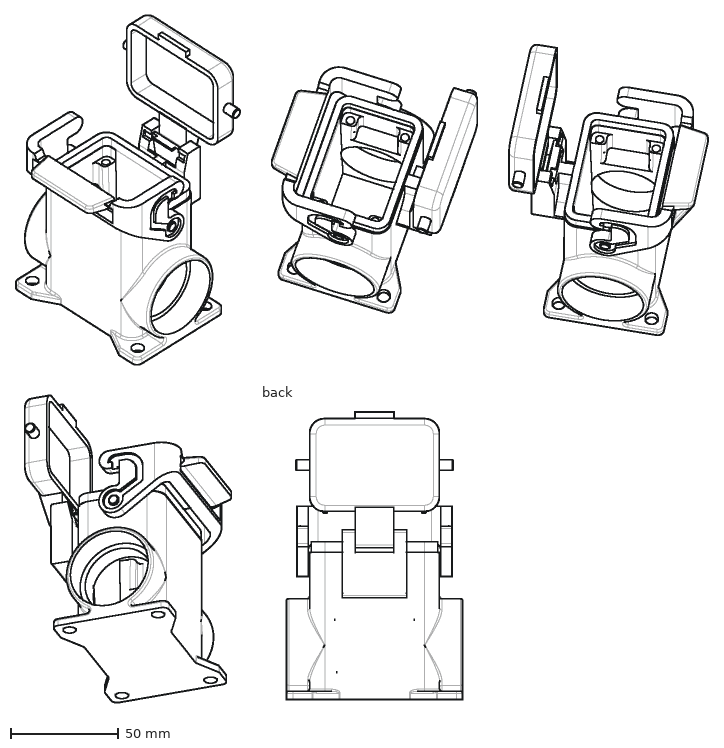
import cadquery as cq
import math

BODY_X = 60.5
BODY_Y = 43.2
BODY_CORNER = 7.0
BODY_TOP = 73.6
RIM_HEIGHT = 5.0
RIM_INSET_X = 0.8
RIM_INSET_Y = 0.4

MOUTH_X = 51.6
MOUTH_Y = 35.3
MOUTH_CORNER = 3.0
POST_TOP = 62.3
CHAMBER_X = 39.4
CHAMBER_FLOOR_X = 34.4
CHAMBER_FLOOR_Y = 31.0
CHAMBER_FLOOR = 3.0
CHAMBER_TOP = BODY_TOP - RIM_HEIGHT
POCKET_Y = 20.4
POCKET_CORNER = 2.0
POST_ROUND = 2.0
POCKET_TOP = 50.0
POCKET_BOTTOM = 45.0
SCREW_X = 22.0
SCREW_Y = 13.4
SCREW_DIAMETER = 3.8
SCREW_DEPTH = 10.0

ENTRY_Z = 25.4
ENTRY_RADIUS = BODY_Y / 2
ENTRY_SPAN = 82.0
ENTRY_BORE_RADIUS = 19.3
ENTRY_BORE_DEPTH = 13.0
ENTRY_HOLE_RADIUS = 16.8

FLANGE_Y = 57.0
FLANGE_THICKNESS = 4.0
FLANGE_CORNER = 3.0
FOOT_EDGE_ROUND = 0.9
FLANGE_EDGE_ROUND = 1.0
ROOT_ROUND = 1.0
FOOT_FLAT_END_X = 29.0
FOOT_ROOT_X = 16.4
NECK_ROUND = 1.5
FIXING_X = 34.9
FIXING_Y = 22.0
FIXING_DIAMETER = 6.1

LEVER_OUTER_X = 36.1
LEVER_INNER_X = 30.75
LEVER_FRONT_Y = -30.0
LEVER_WALL = 5.2
LEVER_CORNER = 9.5
LEVER_TOP = 90.1
LEVER_FRONT_BOTTOM = 76.6
PIVOT_Z = 64.3
PIVOT_RADIUS = 2.45
PIVOT_CHAMFER = 0.4
HUB_RADIUS = 7.0
HOOK_RADIUS = 4.65
HOOK_Y = 2.2
SLOT_EDGE_Y = -3.1
SLOT_ROUND = 1.7
SLOT_TOP_ROUND = 1.0
TRACK_DEPTH = 1.5
TRACK_HUB_RADIUS = 5.0
TRACK_INNER_RADIUS = 5.5
TRACK_OUTER_RADIUS = 9.0
TRACK_ARC_Y = -5.8
TRACK_ARC_Z = 78.5
TRACK_BEND_Z = 72.4
TRACK_TIP_Y = 0.7

TAB_TIP_Y = -38.85
TAB_TOP = 88.3
TAB_ROOT_BOTTOM = 83.5
TAB_TIP_BOTTOM = 84.8
TAB_ROOT_HALF_X = 22.2
TAB_TIP_HALF_X = 19.5
TAB_CORNER = 3.0
TAB_EDGE_ROUND = 1.0
NOTCH_HALF_X = 25.5
NOTCH_FLOOR_HALF_X = 23.8
NOTCH_FLOOR = 87.0
RECESS_X = 52.8
RECESS_BOTTOM = 78.4
RECESS_TOP = 86.4
RECESS_BEVEL = 2.9
RECESS_DEPTH = 3.0

COVER_X = 60.5
COVER_BACK_Y = 47.0
COVER_FRONT_Y = 35.0
COVER_BOTTOM = 87.6
COVER_TOP = 130.9
COVER_CORNER = 7.0
COVER_WALL = 3.0
COVER_BACK_WALL = 2.0
COVER_BACK_ROUND = 3.0
LATCH_X = 18.2
LATCH_Y = 2.4
LATCH_TOP = 134.0
COVER_PIN_SPAN = 73.2
COVER_PIN_Y = 41.2
COVER_PIN_Z = 109.2
COVER_PIN_RADIUS = 2.5
COVER_PIN_CHAMFER = 0.4

HINGE_X = 30.0
HINGE_BACK_Y = 38.7
HINGE_FRONT_Y = 28.0
HINGE_TOP_FRONT_Y = 30.4
HINGE_TOP = 79.0
HINGE_BOTTOM = 47.5
HINGE_EDGE_ROUND = 1.0
ARM_X = 18.0
ARM_FRONT_Y = 35.4
ARM_BOTTOM = 70.7
ARM_BOTTOM_BACK_Y = 41.4
ARM_TOP = 89.6
ARM_ROUND = 2.0
STRUT_TOP = 68.6
WELL_FRONT_Y = 29.0
WELL_BACK_Y = 37.0
WELL_FLOOR = 63.0
HINGE_PIN_X = 24.0
HINGE_PIN_RADIUS = 1.5
HINGE_PIN_Y = 36.8
HINGE_PIN_Z = 74.5
SIDE_POCKET_X = 27.0
SIDE_POCKET_BACK_Y = 30.6
SIDE_POCKET_BOTTOM = 73.5
SIDE_POCKET_TOP = 77.0
CLIP_FRONT_Y = 31.0
CLIP_FOOT_Y = 33.0
CLIP_THICKNESS_Y = 1.6
CLIP_TOP = 77.4
CLIP_LIP_X = 12.0
CLIP_LIP_Y = 28.8
CLIP_LIP_THICKNESS = 1.0
STRUT_RIB_HALF_X = 3.0
STRUT_ARC_TOP = 59.4
STRUT_ARC_END_X = 8.5
STRUT_ARC_END_Z = 51.7

SIDES = (-1, 1)
OVERLAP = 1.0
TOLERANCE = 0.05


def box(x_min, x_max, y_min, y_max, z_min, z_max):
    """Axis-aligned box between the given limits."""
    size = (x_max - x_min, y_max - y_min, z_max - z_min)
    return cq.Workplane("XY").box(*size, centered=False).translate((x_min, y_min, z_min))


def rounded_block(size_x, size_y, corner, z_min, z_max):
    """Upright block centred on the Z axis, with rounded vertical edges."""
    block = box(-size_x / 2, size_x / 2, -size_y / 2, size_y / 2, z_min, z_max)
    return block.edges("|Z").fillet(corner)


def rod(radius, x_min, x_max, y, z):
    """Cylinder parallel to X."""
    return cq.Workplane("YZ", origin=(x_min, y, z)).circle(radius).extrude(x_max - x_min)


def make_flange():
    half_x = ENTRY_SPAN / 2
    half_y = FLANGE_Y / 2
    wall_y = BODY_Y / 2
    quarter = [(FOOT_ROOT_X, wall_y), (FOOT_FLAT_END_X, half_y), (half_x, half_y)]
    outline = [(x, y) for x, y in quarter]
    outline += [(x, -y) for x, y in reversed(quarter)]
    outline += [(-x, -y) for x, y in quarter]
    outline += [(-x, y) for x, y in reversed(quarter)]
    flange = cq.Workplane("XY").polyline(outline).close().extrude(FLANGE_THICKNESS)
    return flange.edges("|Z and (<X or >X)").fillet(FLANGE_CORNER)


def make_neck():
    """Web under the cable entries that blends the round barrel into the flat flange."""
    center_z = FLANGE_THICKNESS + NECK_ROUND
    drop = ENTRY_Z - center_z
    reach = ENTRY_RADIUS + NECK_ROUND
    center_y = math.sqrt(reach**2 - drop**2)
    barrel_y = center_y * ENTRY_RADIUS / reach
    barrel_z = ENTRY_Z - drop * ENTRY_RADIUS / reach
    waist_y = center_y - NECK_ROUND
    return (
        cq.Workplane("YZ", origin=(-ENTRY_SPAN / 2, 0, 0))
        .moveTo(-center_y, FLANGE_THICKNESS)
        .threePointArc((-waist_y, center_z), (-barrel_y, barrel_z))
        .lineTo(barrel_y, barrel_z)
        .threePointArc((waist_y, center_z), (center_y, FLANGE_THICKNESS))
        .lineTo(center_y, FLANGE_THICKNESS / 2)
        .lineTo(-center_y, FLANGE_THICKNESS / 2)
        .close()
        .extrude(ENTRY_SPAN)
    )


def make_base():
    """Flange, necks and cable entry barrels with rounded outer edges."""
    barrel = rod(ENTRY_RADIUS, -ENTRY_SPAN / 2, ENTRY_SPAN / 2, 0, ENTRY_Z)
    base = make_flange().union(make_neck()).union(barrel).clean()
    return base.faces("<X or >X").edges("not <Z").fillet(FLANGE_EDGE_ROUND)


def is_free_foot_edge(edge):
    """True for the upper edges of the feet that stand clear of the body."""
    center = edge.Center()
    return abs(center.z - FLANGE_THICKNESS) < TOLERANCE and abs(center.y) > BODY_Y / 2 + TOLERANCE


def is_root_edge(edge):
    """True where the body meets the feet or an entry barrel."""
    center = edge.Center()
    at_body_end = BODY_X / 2 - BODY_CORNER < abs(center.x) < BODY_X / 2 + TOLERANCE
    above_feet = FLANGE_THICKNESS + TOLERANCE < center.z < BODY_TOP - RIM_HEIGHT - TOLERANCE
    if above_feet:
        return at_body_end and edge.geomType() != "LINE"
    on_feet = abs(center.z - FLANGE_THICKNESS) < TOLERANCE
    return on_feet and FOOT_ROOT_X < abs(center.x) < BODY_X / 2 + TOLERANCE


def round_joints(housing):
    """Round the free foot edges, then the roots of the body on the feet and barrels."""
    foot_edges = [edge for edge in housing.edges().vals() if is_free_foot_edge(edge)]
    housing = housing.newObject(foot_edges).fillet(FOOT_EDGE_ROUND)
    roots = [edge for edge in housing.edges().vals() if is_root_edge(edge)]
    return housing.newObject(roots).fillet(ROOT_ROUND)


def is_post_edge(edge):
    """True for the free vertical edges of the screw posts."""
    center = edge.Center()
    between_walls = CHAMBER_FLOOR_X / 2 < abs(center.x) < CHAMBER_X / 2
    return between_walls and abs(abs(center.y) - POCKET_Y / 2) < TOLERANCE and center.z > POCKET_TOP


def make_cavity():
    """Open mouth, tapering chamber and the sloped pockets between the screw posts."""
    taper = (MOUTH_Y - CHAMBER_FLOOR_Y) / (CHAMBER_TOP - CHAMBER_FLOOR)
    ledge = taper * (CHAMBER_TOP - POST_TOP) / 2
    seat_x = MOUTH_X - 2 * ledge
    mouth = rounded_block(MOUTH_X, MOUTH_Y, MOUTH_CORNER, CHAMBER_TOP, BODY_TOP)
    seat = rounded_block(seat_x, MOUTH_Y - 2 * ledge, MOUTH_CORNER - ledge, POST_TOP, CHAMBER_TOP)
    chamber = (
        cq.Workplane("XY", origin=(0, 0, CHAMBER_FLOOR))
        .rect(CHAMBER_FLOOR_X, CHAMBER_FLOOR_Y)
        .workplane(offset=CHAMBER_TOP - CHAMBER_FLOOR)
        .rect(CHAMBER_X, MOUTH_Y)
        .loft(combine=True)
    )
    pockets = (
        cq.Workplane("XZ", origin=(0, POCKET_Y / 2, 0))
        .polyline([
            (-seat_x / 2, CHAMBER_TOP),
            (seat_x / 2, CHAMBER_TOP),
            (seat_x / 2, POCKET_TOP),
            (CHAMBER_FLOOR_X / 2, POCKET_BOTTOM),
            (-CHAMBER_FLOOR_X / 2, POCKET_BOTTOM),
            (-seat_x / 2, POCKET_TOP),
        ])
        .close()
        .extrude(POCKET_Y)
        .edges("|Z")
        .fillet(POCKET_CORNER)
    )
    lower = chamber.union(pockets)
    lower = lower.newObject([edge for edge in lower.edges().vals() if is_post_edge(edge)]).fillet(POST_ROUND)
    screws = (
        cq.Workplane("XY", origin=(0, 0, POST_TOP - SCREW_DEPTH))
        .rect(2 * SCREW_X, 2 * SCREW_Y, forConstruction=True)
        .vertices()
        .circle(SCREW_DIAMETER / 2)
        .extrude(SCREW_DEPTH)
    )
    return lower.union(seat).union(mouth).union(screws)


def make_entry_bores():
    """Stepped bores through the two end walls only, leaving the long chamber walls whole."""
    end = -ENTRY_SPAN / 2
    bore = rod(ENTRY_BORE_RADIUS, end, end + ENTRY_BORE_DEPTH, 0, ENTRY_Z)
    hole = rod(ENTRY_HOLE_RADIUS, end, -CHAMBER_FLOOR_X / 2, 0, ENTRY_Z)
    entry = bore.union(hole)
    return entry.union(entry.mirror("YZ"))


def make_housing():
    shoulder = BODY_TOP - RIM_HEIGHT
    body = rounded_block(BODY_X, BODY_Y, BODY_CORNER, 0, shoulder)
    rim = rounded_block(
        BODY_X - 2 * RIM_INSET_X,
        BODY_Y - 2 * RIM_INSET_Y,
        BODY_CORNER - RIM_INSET_X,
        shoulder - OVERLAP,
        BODY_TOP,
    )
    fixings = (
        cq.Workplane("XY")
        .rect(2 * FIXING_X, 2 * FIXING_Y, forConstruction=True)
        .vertices()
        .circle(FIXING_DIAMETER / 2)
        .extrude(FLANGE_THICKNESS)
    )
    housing = round_joints(body.union(make_base())).union(rim)
    return housing.cut(make_cavity()).cut(make_entry_bores()).cut(fixings)


def lever_side_outline():
    """Lever side shape: hub, hook, straight top edge and sloping underside."""
    hook_z = LEVER_TOP - HOOK_RADIUS
    hook_bottom = hook_z - HOOK_RADIUS
    slot_end_y = SLOT_EDGE_Y + SLOT_ROUND
    slot_end_z = PIVOT_Z + math.sqrt(HUB_RADIUS**2 - slot_end_y**2)
    to_front = math.atan2(LEVER_FRONT_BOTTOM - PIVOT_Z, -LEVER_FRONT_Y)
    distance = math.hypot(LEVER_FRONT_BOTTOM - PIVOT_Z, LEVER_FRONT_Y)
    slope = to_front + math.asin(HUB_RADIUS / distance)
    tangent_y = -HUB_RADIUS * math.sin(slope)
    tangent_z = PIVOT_Z - HUB_RADIUS * math.cos(slope)
    return (
        cq.Workplane("YZ", origin=(-LEVER_OUTER_X, 0, 0))
        .moveTo(LEVER_FRONT_Y, LEVER_TOP)
        .lineTo(HOOK_Y, LEVER_TOP)
        .threePointArc((HOOK_Y + HOOK_RADIUS, hook_z), (HOOK_Y, hook_bottom))
        .lineTo(SLOT_EDGE_Y + SLOT_TOP_ROUND, hook_bottom)
        .radiusArc((SLOT_EDGE_Y, hook_bottom - SLOT_TOP_ROUND), -SLOT_TOP_ROUND)
        .lineTo(SLOT_EDGE_Y, slot_end_z + SLOT_ROUND)
        .radiusArc((slot_end_y, slot_end_z), -SLOT_ROUND)
        .threePointArc((HUB_RADIUS, PIVOT_Z), (tangent_y, tangent_z))
        .lineTo(LEVER_FRONT_Y, LEVER_FRONT_BOTTOM)
        .close()
    )


def make_track():
    """Shallow channel in the outer face of the -X lever arm, from the hub to the hook."""
    face_x = -LEVER_OUTER_X
    sketch = cq.Workplane("YZ", origin=(face_x, 0, 0))
    mid_radius = (TRACK_INNER_RADIUS + TRACK_OUTER_RADIUS) / 2
    half_width = (TRACK_OUTER_RADIUS - TRACK_INNER_RADIUS) / 2
    bend_y = TRACK_ARC_Y - mid_radius
    diagonal = math.sqrt(0.5)
    hub = sketch.circle(TRACK_HUB_RADIUS).extrude(TRACK_DEPTH).translate((0, 0, PIVOT_Z))
    link_length = math.hypot(bend_y, TRACK_BEND_Z - PIVOT_Z)
    link_angle = math.degrees(math.atan2(TRACK_BEND_Z - PIVOT_Z, bend_y))
    link = (
        cq.Workplane("YZ")
        .slot2D(link_length + 2 * half_width, 2 * half_width)
        .extrude(TRACK_DEPTH)
        .rotate((0, 0, 0), (1, 0, 0), link_angle)
        .translate((face_x, bend_y / 2, (PIVOT_Z + TRACK_BEND_Z) / 2))
    )
    sweep = (
        sketch.moveTo(TRACK_ARC_Y - TRACK_OUTER_RADIUS, TRACK_BEND_Z)
        .lineTo(TRACK_ARC_Y - TRACK_OUTER_RADIUS, TRACK_ARC_Z)
        .threePointArc(
            (TRACK_ARC_Y - diagonal * TRACK_OUTER_RADIUS, TRACK_ARC_Z + diagonal * TRACK_OUTER_RADIUS),
            (TRACK_ARC_Y, TRACK_ARC_Z + TRACK_OUTER_RADIUS),
        )
        .lineTo(TRACK_TIP_Y - half_width, TRACK_ARC_Z + TRACK_OUTER_RADIUS)
        .radiusArc((TRACK_TIP_Y + half_width, TRACK_ARC_Z + mid_radius - half_width), 2 * half_width)
        .lineTo(TRACK_TIP_Y, TRACK_ARC_Z + TRACK_INNER_RADIUS)
        .lineTo(TRACK_TIP_Y, LEVER_TOP - 2 * HOOK_RADIUS)
        .lineTo(SLOT_EDGE_Y, LEVER_TOP - 2 * HOOK_RADIUS)
        .lineTo(SLOT_EDGE_Y, TRACK_ARC_Z + TRACK_INNER_RADIUS)
        .lineTo(TRACK_ARC_Y, TRACK_ARC_Z + TRACK_INNER_RADIUS)
        .threePointArc(
            (TRACK_ARC_Y - diagonal * TRACK_INNER_RADIUS, TRACK_ARC_Z + diagonal * TRACK_INNER_RADIUS),
            (TRACK_ARC_Y - TRACK_INNER_RADIUS, TRACK_ARC_Z),
        )
        .lineTo(TRACK_ARC_Y - TRACK_INNER_RADIUS, TRACK_BEND_Z)
        .close()
        .extrude(TRACK_DEPTH)
    )
    return hub.union(link).union(sweep)


def make_tab():
    """Finger tab whose thickness shrinks towards its tip."""
    root_y = LEVER_FRONT_Y + LEVER_WALL
    plan = (
        cq.Workplane("XY", origin=(0, 0, TAB_ROOT_BOTTOM))
        .polyline([
            (-TAB_ROOT_HALF_X, root_y),
            (TAB_ROOT_HALF_X, root_y),
            (TAB_TIP_HALF_X, TAB_TIP_Y),
            (-TAB_TIP_HALF_X, TAB_TIP_Y),
        ])
        .close()
        .extrude(TAB_TOP - TAB_ROOT_BOTTOM)
        .edges("|Z and <Y")
        .fillet(TAB_CORNER)
    )
    plan = plan.faces(">Z").edges("not >Y").fillet(TAB_EDGE_ROUND)
    undercut = (
        cq.Workplane("YZ", origin=(-TAB_ROOT_HALF_X, 0, 0))
        .polyline([
            (LEVER_FRONT_Y, TAB_ROOT_BOTTOM),
            (TAB_TIP_Y, TAB_TIP_BOTTOM),
            (TAB_TIP_Y, TAB_ROOT_BOTTOM),
        ])
        .close()
        .extrude(2 * TAB_ROOT_HALF_X)
    )
    return plan.cut(undercut)


def make_finger_recess():
    """Bevelled recess in the front wall, behind the finger tab."""
    center_z = (RECESS_TOP + RECESS_BOTTOM) / 2
    height = RECESS_TOP - RECESS_BOTTOM
    return (
        cq.Workplane("XZ", origin=(0, LEVER_FRONT_Y, center_z))
        .rect(RECESS_X, height)
        .workplane(offset=-RECESS_DEPTH)
        .rect(RECESS_X - 2 * RECESS_BEVEL, height - 2 * RECESS_BEVEL)
        .loft(combine=True)
    )


def make_lever():
    side = lever_side_outline().extrude(2 * LEVER_OUTER_X)
    side = side.edges("|Z and <Y").fillet(LEVER_CORNER)
    inner_y = LEVER_FRONT_Y + LEVER_WALL
    opening = box(-LEVER_INNER_X, LEVER_INNER_X, inner_y, 2 * HUB_RADIUS, 0, LEVER_TOP)
    opening = opening.edges("|Z and <Y").fillet(LEVER_CORNER - LEVER_WALL)
    lever = side.cut(opening)
    notch = (
        cq.Workplane("XZ", origin=(0, inner_y, 0))
        .polyline([
            (-NOTCH_HALF_X, LEVER_TOP),
            (NOTCH_HALF_X, LEVER_TOP),
            (NOTCH_FLOOR_HALF_X, NOTCH_FLOOR),
            (-NOTCH_FLOOR_HALF_X, NOTCH_FLOOR),
        ])
        .close()
        .extrude(LEVER_WALL)
    )
    track = make_track()
    lever = lever.cut(notch).cut(make_finger_recess()).cut(track).cut(track.mirror("YZ"))
    pivot_end = LEVER_OUTER_X - PIVOT_CHAMFER
    pin_root = MOUTH_X / 2 + OVERLAP
    for side_sign in SIDES:
        ends = sorted((side_sign * pin_root, side_sign * pivot_end))
        pin = rod(PIVOT_RADIUS, *ends, 0, PIVOT_Z)
        lever = lever.union(pin.faces("<X" if side_sign < 0 else ">X").chamfer(PIVOT_CHAMFER))
    return lever.union(make_tab())


def make_cover():
    half_x = COVER_X / 2
    shell = box(-half_x, half_x, COVER_FRONT_Y, COVER_BACK_Y, COVER_BOTTOM, COVER_TOP)
    shell = shell.edges("|Y").fillet(COVER_CORNER).faces(">Y").edges().fillet(COVER_BACK_ROUND)
    hollow = box(
        COVER_WALL - half_x,
        half_x - COVER_WALL,
        COVER_FRONT_Y,
        COVER_BACK_Y - COVER_BACK_WALL,
        COVER_BOTTOM + COVER_WALL,
        COVER_TOP - COVER_WALL,
    )
    cover = shell.cut(hollow.edges("|Y").fillet(COVER_CORNER - COVER_WALL))
    latch = box(
        -LATCH_X / 2, LATCH_X / 2, COVER_FRONT_Y, COVER_FRONT_Y + LATCH_Y, COVER_TOP - OVERLAP, LATCH_TOP
    )
    cover = cover.union(latch)
    for side_sign in SIDES:
        ends = sorted((side_sign * (half_x - OVERLAP), side_sign * COVER_PIN_SPAN / 2))
        pin = rod(COVER_PIN_RADIUS, *ends, COVER_PIN_Y, COVER_PIN_Z)
        cover = cover.union(pin.faces("<X" if side_sign < 0 else ">X").chamfer(COVER_PIN_CHAMFER))
    return cover


def make_cover_arm():
    """Tapering arm under the cover that enters the hinge bracket."""
    arm = (
        cq.Workplane("YZ", origin=(-ARM_X / 2, 0, 0))
        .polyline([
            (ARM_FRONT_Y, ARM_TOP),
            (COVER_BACK_Y, ARM_TOP),
            (ARM_BOTTOM_BACK_Y, ARM_BOTTOM),
            (ARM_FRONT_Y, ARM_BOTTOM),
        ])
        .close()
        .extrude(ARM_X)
    )
    return arm.faces("<Z").edges(">Y").fillet(ARM_ROUND)


def make_hinge_bracket():
    half_x = HINGE_X / 2
    bracket = (
        cq.Workplane("YZ", origin=(-half_x, 0, 0))
        .polyline([
            (HINGE_FRONT_Y, HINGE_BOTTOM),
            (HINGE_BACK_Y, HINGE_BOTTOM),
            (HINGE_BACK_Y, HINGE_TOP),
            (HINGE_TOP_FRONT_Y, HINGE_TOP),
            (HINGE_FRONT_Y, STRUT_TOP),
        ])
        .close()
        .extrude(HINGE_X)
    )
    bracket = bracket.edges("|X and >Y").fillet(HINGE_EDGE_ROUND)
    slot = box(-ARM_X / 2, ARM_X / 2, HINGE_FRONT_Y, HINGE_BACK_Y, STRUT_TOP, HINGE_TOP)
    well = box(-ARM_X / 2, ARM_X / 2, WELL_FRONT_Y, WELL_BACK_Y, WELL_FLOOR, STRUT_TOP)
    pin = rod(HINGE_PIN_RADIUS, -HINGE_PIN_X / 2, HINGE_PIN_X / 2, HINGE_PIN_Y, HINGE_PIN_Z)
    side_pockets = box(
        -SIDE_POCKET_X / 2,
        SIDE_POCKET_X / 2,
        HINGE_FRONT_Y,
        SIDE_POCKET_BACK_Y,
        SIDE_POCKET_BOTTOM,
        SIDE_POCKET_TOP,
    )
    return bracket.cut(slot).cut(well).cut(side_pockets).union(pin)


def make_hinge_clip():
    """Spring clip ahead of the cover arm: a leaning plate with a narrow lip on top."""
    plate = (
        cq.Workplane("YZ", origin=(-ARM_X / 2, 0, 0))
        .polyline([
            (CLIP_FRONT_Y, CLIP_TOP),
            (CLIP_FRONT_Y + CLIP_THICKNESS_Y, CLIP_TOP),
            (CLIP_FOOT_Y + CLIP_THICKNESS_Y, WELL_FLOOR),
            (CLIP_FOOT_Y, WELL_FLOOR),
        ])
        .close()
        .extrude(ARM_X)
    )
    lip = box(
        -CLIP_LIP_X / 2,
        CLIP_LIP_X / 2,
        CLIP_LIP_Y,
        CLIP_FRONT_Y + OVERLAP,
        CLIP_TOP - CLIP_LIP_THICKNESS,
        CLIP_TOP,
    )
    return plate.union(lip)


def make_hinge_strut():
    """Ribbed strut joining the bracket to the housing; its flanks sweep out to the full width."""
    half_x = HINGE_X / 2
    run = STRUT_ARC_END_X - STRUT_RIB_HALF_X
    drop = STRUT_ARC_TOP - STRUT_ARC_END_Z
    end_angle = 2 * math.atan2(run, drop)
    edge_z = STRUT_ARC_END_Z - (half_x - STRUT_ARC_END_X) / math.tan(end_angle)
    half = (
        cq.Workplane("XZ", origin=(0, HINGE_FRONT_Y + OVERLAP, 0))
        .moveTo(0, STRUT_TOP)
        .lineTo(STRUT_RIB_HALF_X, STRUT_TOP)
        .lineTo(STRUT_RIB_HALF_X, STRUT_ARC_TOP)
        .tangentArcPoint((run, -drop))
        .lineTo(half_x, edge_z)
        .lineTo(half_x, HINGE_BOTTOM)
        .lineTo(0, HINGE_BOTTOM)
        .close()
        .extrude(HINGE_FRONT_Y - BODY_Y / 2 + 2 * OVERLAP)
    )
    return half.union(half.mirror("YZ"))


result = make_housing()
for piece in (
    make_lever(),
    make_hinge_strut(),
    make_hinge_bracket(),
    make_hinge_clip(),
    make_cover_arm(),
    make_cover(),
):
    result = result.union(piece)